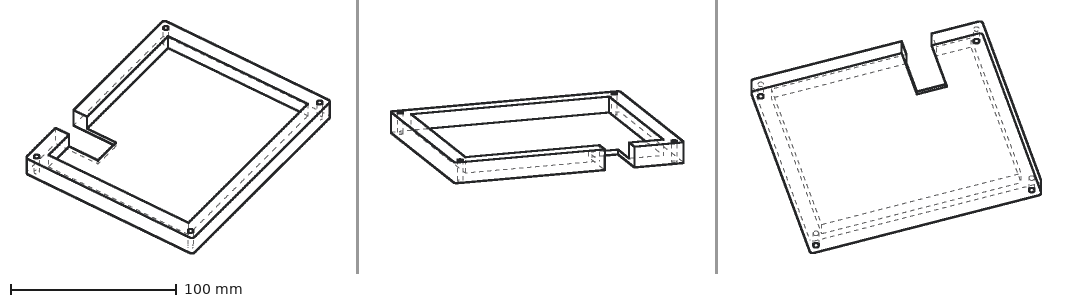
import cadquery as cq

width = 123.0
length = 146.0
height = 13.0
corner_radius = 2.0

wall = 10.1
floor_thickness = 3.0

hole_diameter = 3.4
hole_inset = 5.0

notch_depth = 31.2
notch_width = 18.8
notch_front_offset = 31.8


def make_tray():
    body = cq.Workplane("XY").box(width, length, height, centered=(True, True, False))
    body = body.edges("|Z").fillet(corner_radius)
    pocket = (
        cq.Workplane("XY")
        .workplane(offset=floor_thickness)
        .rect(width - 2 * wall, length - 2 * wall)
        .extrude(height - floor_thickness)
    )
    return body.cut(pocket)


def make_screw_holes():
    return (
        cq.Workplane("XY")
        .rect(width - 2 * hole_inset, length - 2 * hole_inset, forConstruction=True)
        .vertices()
        .circle(hole_diameter / 2)
        .extrude(height)
    )


def make_notch():
    notch = cq.Workplane("XY").box(notch_depth, notch_width, height, centered=False)
    return notch.translate((-width / 2, -length / 2 + notch_front_offset, 0))


result = make_tray().cut(make_screw_holes()).cut(make_notch())